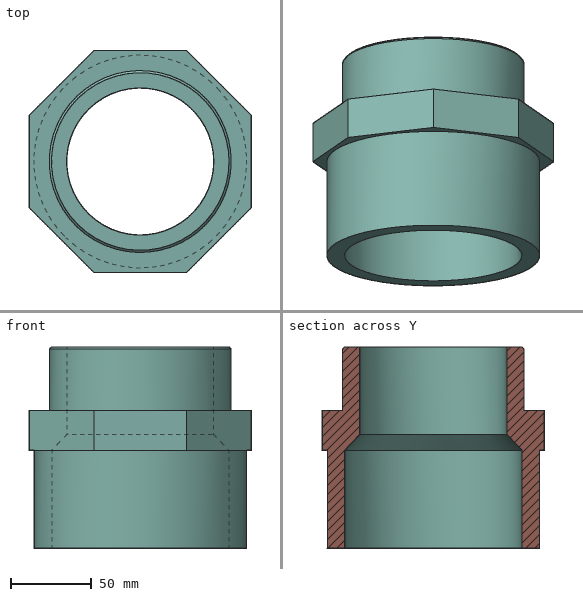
import cadquery as cq

across_flats = 138.0
total_height = 125.0
socket_diameter = 132.0
socket_height = 60.7
collar_height = 24.8
spigot_diameter = 112.9
spigot_chamfer = 1.4

bore_diameter = 91.1
socket_bore_diameter = 110.0
socket_bore_depth = socket_height
cone_height = 10.0

collar_top = socket_height + collar_height
spigot_height = total_height - collar_top


def cylinder(diameter, height, base_z):
    return cq.Workplane("XY").workplane(offset=base_z).circle(diameter / 2).extrude(height)


def octagonal_collar():
    square = cq.Workplane("XY").workplane(offset=socket_height).rect(across_flats, across_flats)
    block = square.extrude(collar_height)
    return block.intersect(block.rotate((0, 0, 0), (0, 0, 1), 45))


def passage():
    bore_radius = bore_diameter / 2
    socket_bore_radius = socket_bore_diameter / 2
    profile = (
        cq.Workplane("XZ")
        .lineTo(socket_bore_radius, 0)
        .lineTo(socket_bore_radius, socket_bore_depth)
        .lineTo(bore_radius, socket_bore_depth + cone_height)
        .lineTo(bore_radius, total_height)
        .lineTo(0, total_height)
        .close()
    )
    return profile.revolve(360, (0, 0, 0), (0, 1, 0))


socket = cylinder(socket_diameter, socket_height, 0)
spigot = cylinder(spigot_diameter, spigot_height, collar_top).faces(">Z").chamfer(spigot_chamfer)
body = socket.union(octagonal_collar()).union(spigot)

result = body.cut(passage())